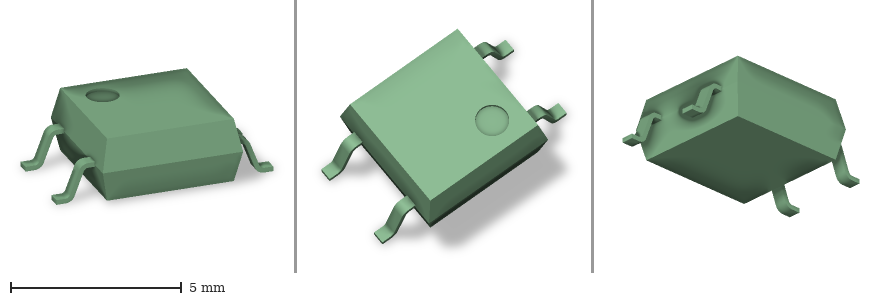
import cadquery as cq
import math

body_x = 4.3
body_y = 4.4
half_height = 1.0
draft_angle = 12.0
standoff = 0.1
parting_z = standoff + half_height

mark_diameter = 1.0
mark_depth = 0.1
mark_offset = 1.005

lead_span = 6.8
lead_pitch = 2.54
lead_width = 0.4
lead_thickness = 0.15
lead_top_z = 1.18
inner_radius = 0.15
outer_radius = inner_radius + lead_thickness
shoulder_end_y = 2.4
foot_start_y = 3.11
lead_root_y = body_y / 2 - 0.1


def body_half(direction):
    """Half of the body, tapering up (+1) or down (-1) from the parting plane."""
    return (
        cq.Workplane("XY", origin=(0, 0, parting_z))
        .rect(body_x, body_y)
        .extrude(direction * half_height, taper=draft_angle)
    )


def on_circle(center, radius, angle):
    """Point at an angle in radians on a circle in the YZ plane."""
    return (center[0] + radius * math.cos(angle), center[1] + radius * math.sin(angle))


def lead():
    """One lead on the +Y side, centred on X = 0."""
    upper_center = (shoulder_end_y, lead_top_z - outer_radius)
    lower_center = (foot_start_y, outer_radius)

    run = lower_center[0] - upper_center[0]
    drop = upper_center[1] - lower_center[1]
    radius_sum = inner_radius + outer_radius
    bend = math.atan2(drop, run) + math.asin(radius_sum / math.hypot(run, drop))

    up = math.pi / 2
    leg_normal = up - bend
    upper_middle = up - bend / 2
    lower_start = leg_normal + math.pi
    lower_middle = upper_middle + math.pi

    tip_y = lead_span / 2
    outline = (
        cq.Workplane("YZ")
        .moveTo(lead_root_y, lead_top_z)
        .lineTo(shoulder_end_y, lead_top_z)
        .threePointArc(
            on_circle(upper_center, outer_radius, upper_middle),
            on_circle(upper_center, outer_radius, leg_normal),
        )
        .lineTo(*on_circle(lower_center, inner_radius, lower_start))
        .threePointArc(
            on_circle(lower_center, inner_radius, lower_middle),
            (foot_start_y, lead_thickness),
        )
        .lineTo(tip_y, lead_thickness)
        .lineTo(tip_y, 0)
        .lineTo(foot_start_y, 0)
        .threePointArc(
            on_circle(lower_center, outer_radius, lower_middle),
            on_circle(lower_center, outer_radius, lower_start),
        )
        .lineTo(*on_circle(upper_center, inner_radius, leg_normal))
        .threePointArc(
            on_circle(upper_center, inner_radius, upper_middle),
            (shoulder_end_y, lead_top_z - lead_thickness),
        )
        .lineTo(lead_root_y, lead_top_z - lead_thickness)
        .close()
    )
    return outline.extrude(lead_width / 2, both=True)


def pin_mark():
    """Cutter for the recess near the -X, -Y corner."""
    top_z = parting_z + half_height
    return (
        cq.Workplane("XY", origin=(-mark_offset, -mark_offset, top_z))
        .circle(mark_diameter / 2)
        .extrude(-mark_depth)
    )


result = body_half(1).union(body_half(-1)).cut(pin_mark())
for side in (-1, 1):
    back_lead = lead().translate((side * lead_pitch / 2, 0, 0))
    result = result.union(back_lead).union(back_lead.mirror("XZ"))